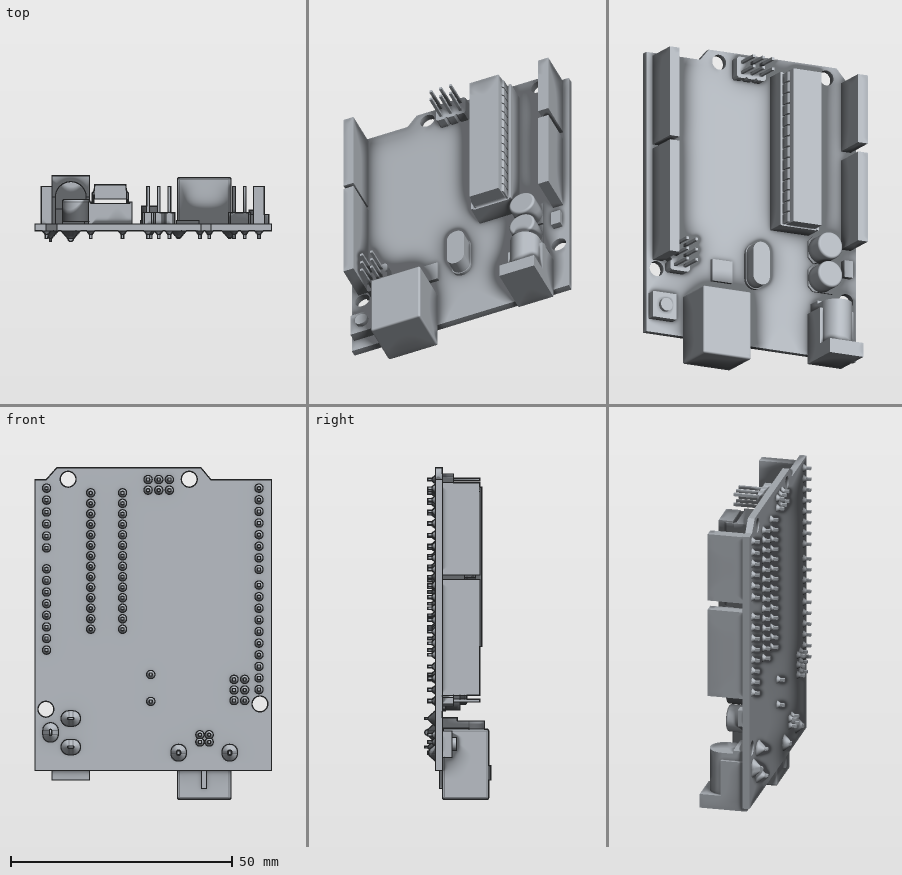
import cadquery as cq


board_width = 53.5
board_thickness = 1.6
shoulder_z = 65.8
board_top_z = 68.5
tab_points = [(2.55, shoulder_z), (4.95, board_top_z), (37.5, board_top_z), (39.75, shoulder_z)]
mount_hole_d = 3.5
mount_holes = [(7.5, 65.85), (34.9, 65.85), (2.5, 13.9), (50.85, 15.1)]

pin_size = 0.64
pin_drop = 1.7
solder_d = 1.9
solder_height = 0.75
solder_taper = 37
tall_pin_y = 10.05
lug_solder_d = 3.5
lug_solder_taper = 42

strip_width = 2.5
strip_end_margin = 1.3
left_x = 2.6
right_x = 50.6
strips = [
    (left_x, 63.8, 6, 2.7),
    (left_x, 45.6, 8, 2.6),
    (right_x, 63.8, 8, 2.6),
    (right_x, 41.9, 10, 2.6),
]

post_pitch = 2.4
post_base_height = 2.55
post_margin = 1.3
post_notch = 0.45
post_headers = [(28.0, 64.6, 3, 2), (46.2, 18.2, 2, 3)]

chip_x = 17.0
chip_z = 46.05
chip_length = 36
chip_width = 7.35
chip_top_width = 7.05
chip_bottom_y = 7.2
chip_top_y = 10.5
socket_width = 9.8
socket_rim_y = 6.6
socket_floor_y = 6.2
socket_rim = 0.5
leg_count = 14
leg_pitch = 2.55
leg_width = 2.2
leg_span = 8.2
leg_thickness = 0.4
leg_shoulder_y = 9.1
leg_bend_y = 8.55
socket_pin_columns = [12.6, 19.8]
socket_pin_top_z = 62.8
socket_pin_span = 30.8
socket_pin_pitch = socket_pin_span / (leg_count - 1)

jack_x = 8.1
jack_width = 8.55
jack_top_y = 12.5
jack_front_z = -2.2
jack_flange_z = 1.1
jack_shell_z = 9.6
jack_barrel_z = 11.25
jack_foot_z = 12
jack_barrel_d = 7.0
jack_axis_y = 7.65
jack_foot_y = 4.95
jack_lug_stretch = 0.9
jack_lug_height = 1.65
jack_lug_drop = 2.4
jack_blade_width = 1.3
jack_blade_thickness = 0.45
jack_lugs = [(8.1, 11.8, 0), (8.1, 5.3, 0), (3.5, 8.6, 90)]

usb_x = 38.25
usb_width = 12.15
usb_front_z = -6.5
usb_back_z = 9.4
usb_top_y = 12.1
usb_round = 0.45
usb_tongue_width = 1.1
usb_tongue_depth = 0.7
usb_tongue_end_z = -4.05
usb_lug_spacing = 11.55
usb_lug_z = 4.05
usb_lug_stretch = 0.3
usb_lug_height = 1.4
usb_lug_pin_long = 0.8
usb_lug_pin_short = 0.7
usb_signal_x = [37.3, 39.4]
usb_signal_z = [6.45, 8.1]

cap_d = 6.2
cap_x = 9.3
cap_z = [18.1, 24.8]
cap_top_y = 7.1
cap_round = 0.5
cap_base_height = 0.5
cap_base_chamfer = 1.2

crystal_x = 26.2
crystal_z = 18.7
crystal_length = 10.05
crystal_width = 4.2
crystal_top_y = 5.6
crystal_flange = 0.2
crystal_flange_height = 0.75
crystal_pin_spacing = 6.1

button_x = 49.9
button_z = 6
button_side = 6
button_body_y = 3.75
button_d = 3
button_top_y = 4.7

driver_x = 34.5
driver_z = 16.5
driver_side = 5.1
driver_height = 0.8
diode_x = left_x
diode_z = 21.15
diode_width = 2.25
diode_height = 1.5
diode_length = 3.9


def block(x, z, width, length, y_low, y_high):
    """Box centred on (x, z) and reaching from y_low to y_high."""
    return cq.Workplane("XY").box(width, y_high - y_low, length).translate((x, (y_low + y_high) / 2, z))


def plane_at(x, z, y=0):
    """XZ workplane at height y, its normal facing -Y."""
    return cq.Workplane("XZ", origin=(x, y, z))


def post(x, z, top_y=board_thickness):
    """Square pin with a round solder cone under the board."""
    cone = plane_at(x, z).circle(solder_d / 2).extrude(solder_height, taper=solder_taper)
    return [cone, block(x, z, pin_size, pin_size, -pin_drop, top_y)]


def lug_solder(ground, stretch, height):
    """Large solder cone, stretched along the local X of its ground plane."""
    outline = ground.slot2D(lug_solder_d + stretch, lug_solder_d)
    return outline.extrude(height, taper=lug_solder_taper)


def spread(count, pitch):
    """Offsets of evenly pitched items about their middle."""
    return [(i - (count - 1) / 2) * pitch for i in range(count)]


def make_board():
    outline = [(0, 0), (0, shoulder_z)] + tab_points + [(board_width, shoulder_z), (board_width, 0)]
    board = plane_at(0, 0).polyline(outline).close().extrude(-board_thickness)
    holes = plane_at(0, 0).pushPoints(mount_holes).circle(mount_hole_d / 2).extrude(-board_thickness)
    return board.cut(holes)


def socket_strip(x, top_z, count, pitch):
    span = (count - 1) * pitch
    length = span + 2 * strip_end_margin
    parts = [block(x, top_z - span / 2, strip_width, length, board_thickness, tall_pin_y)]
    for i in range(count):
        parts += post(x, top_z - i * pitch)
    return parts


def post_header(x, z, columns, rows):
    width = (columns - 1) * post_pitch + 2 * post_margin
    length = (rows - 1) * post_pitch + 2 * post_margin
    top_y = board_thickness + post_base_height
    base = block(x, z, width, length, board_thickness, top_y)
    corners = [(sx * width / 2, sz * length / 2) for sx in (-1, 1) for sz in (-1, 1)]
    if columns > rows:
        gaps = [(dx, side * length / 2) for dx in spread(columns - 1, post_pitch) for side in (-1, 1)]
    else:
        gaps = [(side * width / 2, dz) for dz in spread(rows - 1, post_pitch) for side in (-1, 1)]
    notches = plane_at(x, z).pushPoints(corners + gaps).polygon(4, 2 * post_notch).extrude(-top_y)
    parts = [base.cut(notches)]
    for dx in spread(columns, post_pitch):
        for dz in spread(rows, post_pitch):
            parts += post(x + dx, z + dz, tall_pin_y)
    return parts


def processor():
    socket = block(chip_x, chip_z, socket_width, chip_length, board_thickness, socket_rim_y)
    channel_width = socket_width - 2 * socket_rim
    socket = socket.cut(block(chip_x, chip_z, channel_width, chip_length, socket_floor_y, socket_rim_y))
    chip_profile = [
        (-chip_width / 2, chip_bottom_y),
        (chip_width / 2, chip_bottom_y),
        (chip_width / 2, leg_shoulder_y),
        (chip_top_width / 2, chip_top_y),
        (-chip_top_width / 2, chip_top_y),
        (-chip_width / 2, leg_shoulder_y),
    ]
    section = cq.Workplane("XY", origin=(chip_x, 0, chip_z))
    parts = [socket, section.polyline(chip_profile).close().extrude(chip_length / 2, both=True)]
    for side in (-1, 1):
        outer = side * leg_span / 2
        inner = side * (leg_span / 2 - leg_thickness)
        body = side * (chip_width / 2 - leg_thickness)
        leg_profile = [
            (body, leg_shoulder_y),
            (side * chip_width / 2, leg_shoulder_y),
            (outer, leg_bend_y),
            (outer, socket_floor_y),
            (inner, socket_floor_y),
            (inner, leg_bend_y - leg_thickness),
            (body, leg_bend_y - leg_thickness),
        ]
        for dz in spread(leg_count, leg_pitch):
            leg = section.polyline(leg_profile).close().extrude(leg_width / 2, both=True)
            parts.append(leg.translate((0, 0, dz)))
    for x in socket_pin_columns:
        for i in range(leg_count):
            parts += post(x, socket_pin_top_z - i * socket_pin_pitch)
    return parts


def jack_block(width, z_low, z_high, top_y):
    return block(jack_x, (z_low + z_high) / 2, width, z_high - z_low, board_thickness, top_y)


def round_blade():
    """Flat lug on the Y axis with a full-round tip below the board."""
    length = jack_lug_drop + board_thickness
    section = cq.Workplane("XY").center(0, board_thickness - length / 2)
    return section.slot2D(length, jack_blade_width, 90).extrude(jack_blade_thickness / 2, both=True)


def power_jack():
    barrel_height = jack_barrel_z - jack_front_z
    barrel = cq.Workplane("XY", origin=(jack_x, jack_axis_y, jack_front_z))
    parts = [
        jack_block(jack_width, jack_front_z, jack_flange_z, jack_top_y),
        jack_block(jack_width, jack_front_z, jack_shell_z, jack_axis_y),
        jack_block(jack_barrel_d, jack_front_z, jack_barrel_z, jack_axis_y),
        jack_block(jack_barrel_d, jack_front_z, jack_foot_z, jack_foot_y),
        barrel.circle(jack_barrel_d / 2).extrude(barrel_height),
    ]
    for x, z, angle in jack_lugs:
        ground = plane_at(x, z).transformed(rotate=(0, 0, angle))
        blade = round_blade().rotate((0, 0, 0), (0, 1, 0), angle).translate((x, 0, z))
        parts += [lug_solder(ground, jack_lug_stretch, jack_lug_height), blade]
    return parts


def usb_connector():
    length = usb_back_z - usb_front_z
    shell = block(usb_x, (usb_front_z + usb_back_z) / 2, usb_width, length, board_thickness, usb_top_y)
    tongue_low_y = board_thickness - usb_tongue_depth
    tongue = block(usb_x, usb_tongue_end_z / 2, usb_tongue_width, -usb_tongue_end_z,
                   tongue_low_y, board_thickness + usb_round)
    parts = [shell.edges("not (>Z and <Y)").fillet(usb_round), tongue]
    for side in (-1, 1):
        lug_x = usb_x + side * usb_lug_spacing / 2
        ground = plane_at(lug_x, usb_lug_z).transformed(rotate=(0, 0, 90))
        parts += [
            lug_solder(ground, usb_lug_stretch, usb_lug_height),
            ground.rect(usb_lug_pin_long, usb_lug_pin_short).extrude(pin_drop),
        ]
    for x in usb_signal_x:
        for z in usb_signal_z:
            parts += post(x, z)
    return parts


def capacitor(z):
    can = plane_at(cap_x, z, board_thickness).circle(cap_d / 2).extrude(board_thickness - cap_top_y)
    can = can.faces(">Y").edges().fillet(cap_round)
    base = block(cap_x, z, cap_d, cap_d, board_thickness, board_thickness + cap_base_height)
    return [can, base.edges("|Y and >X").chamfer(cap_base_chamfer)]


def crystal():
    ground = plane_at(crystal_x, crystal_z, board_thickness)
    can = ground.slot2D(crystal_length, crystal_width, 90).extrude(board_thickness - crystal_top_y)
    flange = ground.slot2D(crystal_length + 2 * crystal_flange, crystal_width + 2 * crystal_flange, 90)
    parts = [can, flange.extrude(-crystal_flange_height)]
    for dz in spread(2, crystal_pin_spacing):
        parts += post(crystal_x, crystal_z + dz)
    return parts


def reset_button():
    body = block(button_x, button_z, button_side, button_side, board_thickness, button_body_y)
    ground = plane_at(button_x, button_z, board_thickness)
    return [body, ground.circle(button_d / 2).extrude(board_thickness - button_top_y)]


def flat_parts():
    driver_top_y = board_thickness + driver_height
    diode_top_y = board_thickness + diode_height
    return [
        block(driver_x, driver_z, driver_side, driver_side, board_thickness, driver_top_y),
        block(diode_x, diode_z, diode_width, diode_length, board_thickness, diode_top_y),
    ]


parts = processor() + power_jack() + usb_connector() + crystal() + reset_button() + flat_parts()
for strip in strips:
    parts += socket_strip(*strip)
for header in post_headers:
    parts += post_header(*header)
for z in cap_z:
    parts += capacitor(z)

solid = make_board().val().fuse(*[part.val() for part in parts])
result = cq.Workplane("XY").newObject(solid.Solids()).clean()